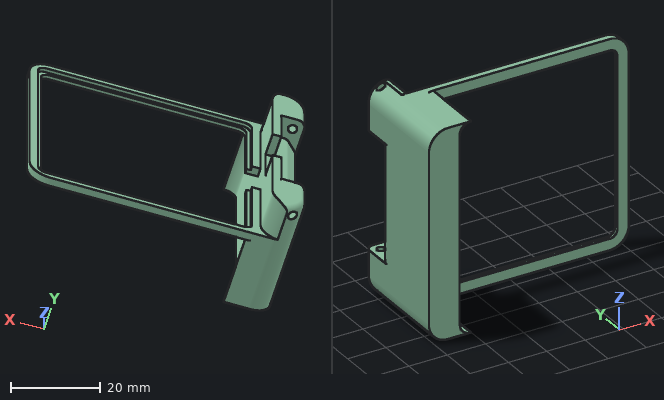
import cadquery as cq
import math

length = 62.1
depth = 27.7
height = 54.1
half_height = height / 2
corner_radius = 4.95

wall_thickness = 8.0
frame_width = 3.0
frame_thickness = 2.05
frame_back = -9.1
frame_front = frame_back - frame_thickness
window_left = wall_thickness + frame_width
window_radius = corner_radius - frame_width
rebate_depth = 1.0
rebate_width = 1.0

end_round = 2.0
slot_height = 30.4
slot_floor = -5.35
tab_thickness = 2.05
gap_height = 10.0
pin_diameter = 2.0
pin_inset = 2.55

ramp_size = slot_floor - frame_back
ramp_radius = 2.0

overrun = 0.6


def box(x_min, x_max, y_min, y_max, z_height):
    """Box given by its X and Y limits and centred on Z = 0."""
    size_x = x_max - x_min
    size_y = y_max - y_min
    return cq.Workplane("XY").box(size_x, size_y, z_height).translate(
        ((x_min + x_max) / 2, (y_min + y_max) / 2, 0)
    )


def window_cutter(y_min, border):
    """Rounded window from y_min to the back of the frame, leaving the given border."""
    cutter = box(
        wall_thickness + border, length - border, y_min, frame_back, height - 2 * border
    )
    return cutter.edges("|Y").fillet(window_radius)


def make_frame():
    """Thin plate with a rounded window and a shallow rebate around its rear edge."""
    plate = box(0, length, frame_front, frame_back, height).edges("|Y").fillet(corner_radius)
    window = window_cutter(frame_front, frame_width)
    rebate = window_cutter(frame_back - rebate_depth, frame_width - rebate_width)
    return plate.cut(window).cut(rebate)


def make_wall():
    """Wall in front of the frame, with flared lips along its upper and lower edges."""
    body = box(0, window_left, -depth, frame_front, height)
    body = body.edges("|Y and <X").fillet(corner_radius)
    hollow_right = window_left + frame_width
    hollow = box(wall_thickness, hollow_right, -depth, frame_front, height)
    return body.cut(hollow.edges("|Y and <X").fillet(frame_width))


def make_hinge_end():
    """Part of the wall behind the frame, rounded along the outer and inner corners."""
    outer = box(0, length, frame_back, 0, height).edges("|Y and <X").fillet(corner_radius)
    outer = outer.faces(">Y").edges("not >X").fillet(end_round)
    inner = box(-length, wall_thickness, frame_back, 0, height)
    return outer.intersect(inner.edges("|Y and >X").fillet(corner_radius))


def make_slot():
    """Clearance for the mating knuckle, with the rounded 45 degree ramp at its edge."""
    tangent = ramp_radius * math.tan(math.pi / 8)
    leg = ramp_size - tangent
    straight_offset = tangent * math.sqrt(0.5)
    bulge = ramp_radius * (1 - math.cos(math.pi / 8))
    rise = ramp_radius * math.sin(math.pi / 8)
    low_y = frame_back + tangent
    return (
        cq.Workplane("XY", origin=(0, 0, -slot_height / 2))
        .moveTo(-overrun, frame_back)
        .lineTo(0, frame_back)
        .threePointArc((bulge, frame_back + rise), (straight_offset, low_y + straight_offset))
        .lineTo(leg - straight_offset, slot_floor - straight_offset)
        .threePointArc((ramp_size - rise, slot_floor - bulge), (ramp_size, slot_floor))
        .lineTo(wall_thickness - tab_thickness, slot_floor)
        .lineTo(wall_thickness - tab_thickness, overrun)
        .lineTo(-overrun, overrun)
        .close()
        .extrude(slot_height)
    )


def make_gap():
    """Opening between the two tabs, continued through the side of the frame."""
    between_tabs = box(0, wall_thickness + overrun, slot_floor, overrun, gap_height)
    through_frame = box(wall_thickness, window_left, frame_front, frame_back, gap_height)
    return between_tabs.union(through_frame)


def make_pin_hole():
    """Hinge pin hole running along the whole height."""
    return (
        cq.Workplane("XY", origin=(pin_inset, -pin_inset, -half_height))
        .circle(pin_diameter / 2)
        .extrude(height)
    )


result = make_frame().union(make_wall()).union(make_hinge_end())
result = result.cut(make_slot()).cut(make_gap()).cut(make_pin_hole())